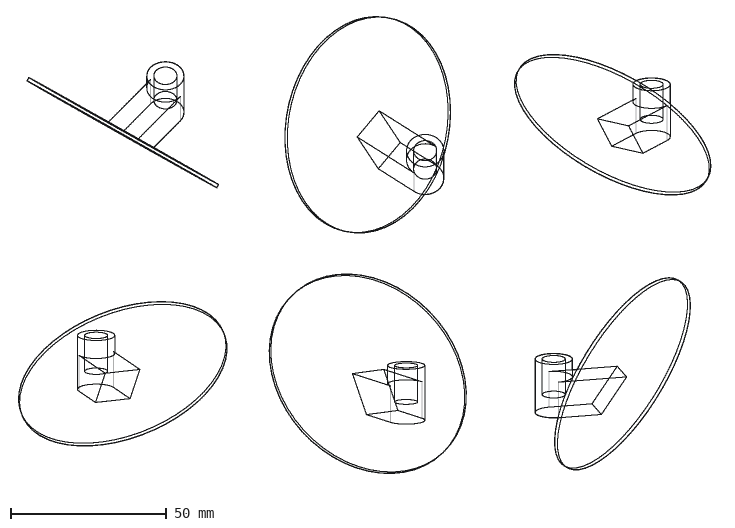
import cadquery as cq
import math

disc_diameter = 70
disc_thickness = 1.2
disc_tilt = 55

socket_diameter = 12.0
socket_height = 18.0
socket_y = 22.8
socket_base_z = -11.2
bore_diameter = 7.4
bore_depth = 12.0

arm_width = socket_diameter
arm_height = 12.0


def disc_midplane_y(z):
    """Y position of the disc's middle plane at height z."""
    return -z / math.tan(math.radians(disc_tilt))


def make_disc():
    disc = cq.Workplane("XY").cylinder(disc_thickness, disc_diameter / 2)
    return disc.rotate((0, 0, 0), (1, 0, 0), -disc_tilt)


def make_arm():
    """Level block from the socket axis to the disc, cut off at the disc's slope."""
    arm_top_z = socket_base_z + arm_height
    return (
        cq.Workplane("YZ")
        .moveTo(socket_y, socket_base_z)
        .lineTo(socket_y, arm_top_z)
        .lineTo(disc_midplane_y(arm_top_z), arm_top_z)
        .lineTo(disc_midplane_y(socket_base_z), socket_base_z)
        .close()
        .extrude(arm_width / 2, both=True)
    )


def make_socket():
    return (
        cq.Workplane("XY", origin=(0, socket_y, socket_base_z))
        .circle(socket_diameter / 2)
        .extrude(socket_height)
    )


def make_bore():
    """Blind hole down from the top of the socket."""
    socket_top_z = socket_base_z + socket_height
    return (
        cq.Workplane("XY", origin=(0, socket_y, socket_top_z))
        .circle(bore_diameter / 2)
        .extrude(-bore_depth)
    )


result = make_disc().union(make_arm()).union(make_socket()).cut(make_bore())